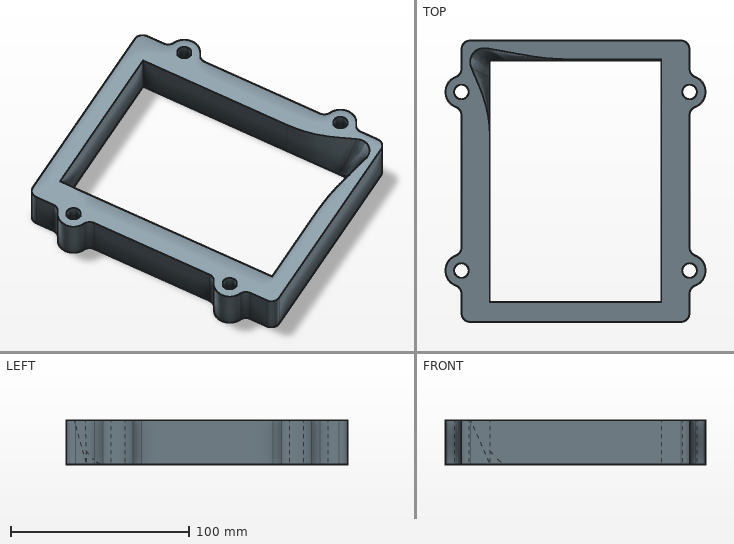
import cadquery as cq
import math

body_width = 128.0
body_length = 158.0
height = 25.0
corner_radius = 5.0

lug_radius = 9.0
lug_blend_radius = 5.0
lug_spacing = 100.2
screw_hole_diameter = 8.0

window_half_width = 48.0
window_front = -67.6
window_back_bottom = 67.6
window_back_top = 68.4

flare_radius = 7.9
flare_centre_x = -51.2
flare_centre_y = 66.8
flare_arc_start = 81
flare_arc_end = 204
flare_back_slope = -0.15
flare_left_slope = -0.45
flare_end_x_top = -4.3
flare_end_x_bottom = 0.0
flare_end_y = 24.5
flare_base_radius = 9.5


def make_body():
    """Frame block with four lugs blended into its sides."""
    block = cq.Workplane("XY").rect(body_width, body_length).extrude(height)
    block = block.edges("|Z").fillet(corner_radius)
    lugs = (
        cq.Workplane("XY")
        .rect(body_width, lug_spacing, forConstruction=True)
        .vertices()
        .circle(lug_radius)
        .extrude(height)
    )
    body = block.union(lugs)
    for x in (-body_width / 2, body_width / 2):
        for y in (-lug_spacing / 2, lug_spacing / 2):
            for side in (-lug_radius, lug_radius):
                corner = cq.selectors.NearestToPointSelector((x, y + side, height / 2))
                body = body.edges("|Z").edges(corner).fillet(lug_blend_radius)
    return body


def make_screw_holes():
    """Through holes concentric with the lugs."""
    return (
        cq.Workplane("XY")
        .rect(body_width, lug_spacing, forConstruction=True)
        .vertices()
        .circle(screw_hole_diameter / 2)
        .extrude(height)
    )


def make_window():
    """Opening drawn as a side profile and extruded across X."""
    return (
        cq.Workplane("YZ")
        .workplane(offset=-window_half_width)
        .moveTo(window_front, 0)
        .lineTo(window_back_bottom, 0)
        .lineTo(window_back_top, height)
        .lineTo(window_front, height)
        .close()
        .extrude(2 * window_half_width)
    )


def arc_point(centre_x, centre_y, radius, degrees, z):
    angle = math.radians(degrees)
    return cq.Vector(centre_x + radius * math.cos(angle), centre_y + radius * math.sin(angle), z)


def flare_top():
    """Bulging outline: two curved runs joined by a round, closed by a straight side."""
    back_end = cq.Vector(flare_end_x_top, window_back_top, height)
    left_end = cq.Vector(-window_half_width, flare_end_y, height)
    arc_angles = (flare_arc_start, (flare_arc_start + flare_arc_end) / 2, flare_arc_end)
    back_point, arc_middle, left_point = [
        arc_point(flare_centre_x, flare_centre_y, flare_radius, angle, height) for angle in arc_angles
    ]
    back_run = cq.Edge.makeSpline(
        [back_end, back_point],
        tangents=[cq.Vector(-1, 0, 0), cq.Vector(-1, -flare_back_slope, 0)],
    )
    left_run = cq.Edge.makeSpline(
        [left_point, left_end],
        tangents=[cq.Vector(-flare_left_slope, -1, 0), cq.Vector(0, -1, 0)],
    )
    corner = cq.Edge.makeThreePointArc(back_point, arc_middle, left_point)
    closing = cq.Edge.makeLine(left_end, back_end)
    return cq.Wire.assembleEdges([back_run, corner, left_run, closing])


def flare_bottom():
    """Straight runs along the window walls with a rounded corner and a straight closing side."""
    back_end = cq.Vector(flare_end_x_bottom, window_back_bottom, 0)
    left_end = cq.Vector(-window_half_width, flare_end_y, 0)
    centre_x = -window_half_width + flare_base_radius
    centre_y = window_back_bottom - flare_base_radius
    back_point, arc_middle, left_point = [
        arc_point(centre_x, centre_y, flare_base_radius, angle, 0) for angle in (90, 135, 180)
    ]
    back_run = cq.Edge.makeLine(back_end, back_point)
    corner = cq.Edge.makeThreePointArc(back_point, arc_middle, left_point)
    left_run = cq.Edge.makeLine(left_point, left_end)
    closing = cq.Edge.makeLine(left_end, back_end)
    return cq.Wire.assembleEdges([back_run, corner, left_run, closing])


def make_flare():
    """Recess ruled between its bottom and top outlines."""
    return cq.Workplane(cq.Solid.makeLoft([flare_bottom(), flare_top()], True))


result = make_body().cut(make_screw_holes()).cut(make_window()).cut(make_flare())